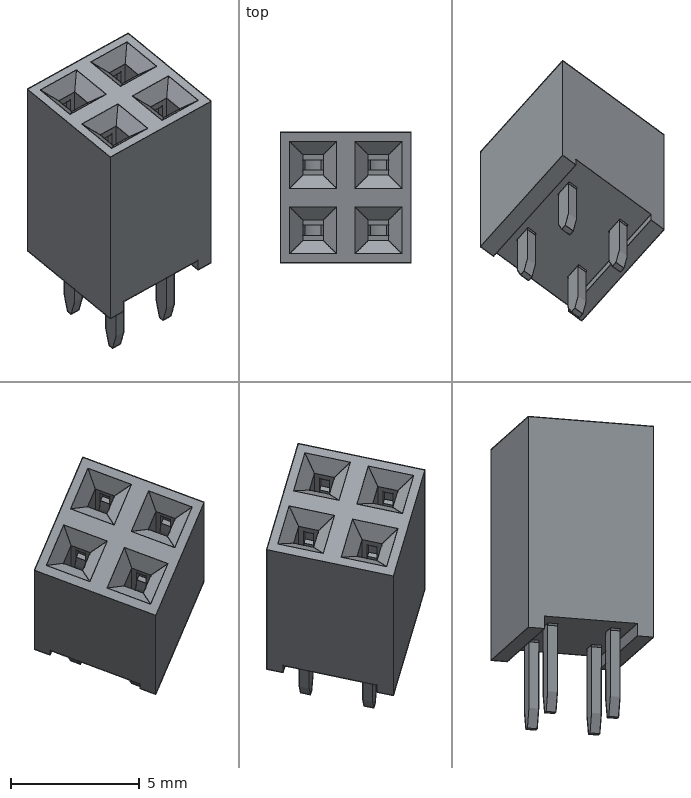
import cadquery as cq

pitch = 2.54
contacts_per_side = 2
housing_width = contacts_per_side * pitch
housing_height = 8.5
foot_height = 0.5
foot_width = 0.66

well_width = 0.8
mouth_width = 1.82
mouth_depth = (mouth_width - well_width) / 2
well_floor_z = 3.0

slot_width = 1.3
slot_top_drop = 0.3
slot_top_z = housing_height - mouth_depth - slot_top_drop

contact_thickness = 0.4
fork_gap = 0.62
fork_tip_gap = 0.9
fork_tip_z = 6.8
throat_z = 6.3
fork_seat_z = 4.0
fork_seat_sag = 0.1

tail_width = 0.62
tail_length = 3.0
tip_width = 0.22
tip_length = 0.75
shoulder_drop = 0.08
shoulder_flare = 0.04


def make_housing():
    block = cq.Workplane("XY").box(
        housing_width, housing_width, housing_height, centered=(True, True, False)
    )
    channel = cq.Workplane("XY").box(
        housing_width, housing_width - 2 * foot_width, foot_height, centered=(True, True, False)
    )
    return block.cut(channel)


def make_socket():
    """Empty space of one socket: funnel mouth, square well and fork slot."""
    mouth = (
        cq.Workplane("XY", origin=(0, 0, housing_height))
        .rect(mouth_width, mouth_width)
        .workplane(offset=-mouth_depth)
        .rect(well_width, well_width)
        .loft(ruled=True)
    )
    well_depth = housing_height - mouth_depth - well_floor_z
    well = cq.Workplane("XY", origin=(0, 0, well_floor_z)).box(
        well_width, well_width, well_depth, centered=(True, True, False)
    )
    slot = cq.Workplane("XY", origin=(0, 0, well_floor_z)).box(
        slot_width, contact_thickness, slot_top_z - well_floor_z, centered=(True, True, False)
    )
    return mouth.union(well).union(slot)


def extrude_contact_profile(profile):
    """Extrude an XZ outline to the contact thickness, centred on Y."""
    return profile.close().extrude(contact_thickness / 2, both=True)


def make_fork():
    """Two arms with sloping lead-ins above a gap that has a shallow round seat."""
    return extrude_contact_profile(
        cq.Workplane("XZ")
        .moveTo(-slot_width / 2, well_floor_z)
        .lineTo(-slot_width / 2, fork_tip_z)
        .lineTo(-fork_tip_gap / 2, fork_tip_z)
        .lineTo(-fork_gap / 2, throat_z)
        .lineTo(-fork_gap / 2, fork_seat_z)
        .threePointArc((0, fork_seat_z - fork_seat_sag), (fork_gap / 2, fork_seat_z))
        .lineTo(fork_gap / 2, throat_z)
        .lineTo(fork_tip_gap / 2, fork_tip_z)
        .lineTo(slot_width / 2, fork_tip_z)
        .lineTo(slot_width / 2, well_floor_z)
    )


def make_tail():
    """Solder tail with a tapered tip and a flared shoulder against the housing."""
    tip_top_z = tip_length - tail_length
    shoulder_z = foot_height - shoulder_drop
    shoulder_half_width = tail_width / 2 + shoulder_flare
    return extrude_contact_profile(
        cq.Workplane("XZ")
        .moveTo(-shoulder_half_width, foot_height)
        .lineTo(-tail_width / 2, shoulder_z)
        .lineTo(-tail_width / 2, tip_top_z)
        .lineTo(-tip_width / 2, -tail_length)
        .lineTo(tip_width / 2, -tail_length)
        .lineTo(tail_width / 2, tip_top_z)
        .lineTo(tail_width / 2, shoulder_z)
        .lineTo(shoulder_half_width, foot_height)
    )


def contact_positions():
    offsets = [(i - (contacts_per_side - 1) / 2) * pitch for i in range(contacts_per_side)]
    return [(x, y, 0) for x in offsets for y in offsets]


result = make_housing()
socket = make_socket()
contact_parts = (make_fork(), make_tail())
for position in contact_positions():
    result = result.cut(socket.translate(position))
    for contact_part in contact_parts:
        result = result.union(contact_part.translate(position))